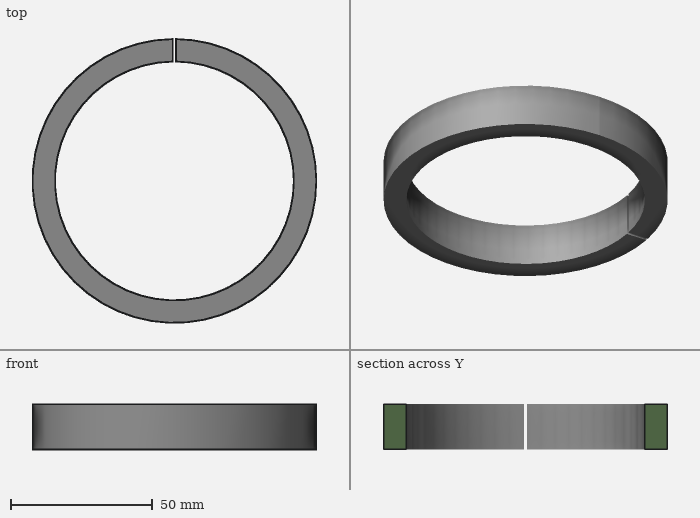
import cadquery as cq

outer_diameter = 100.0
wall_thickness = 8.0
height = 16.0
gap_width = 1.0

outer_radius = outer_diameter / 2
inner_radius = outer_radius - wall_thickness

ring = cq.Workplane("XY").circle(outer_radius).circle(inner_radius).extrude(height)

gap_length = outer_diameter
gap = (
    cq.Workplane("XY")
    .center(0, gap_length / 2)
    .rect(gap_width, gap_length)
    .extrude(height)
)

result = ring.cut(gap)